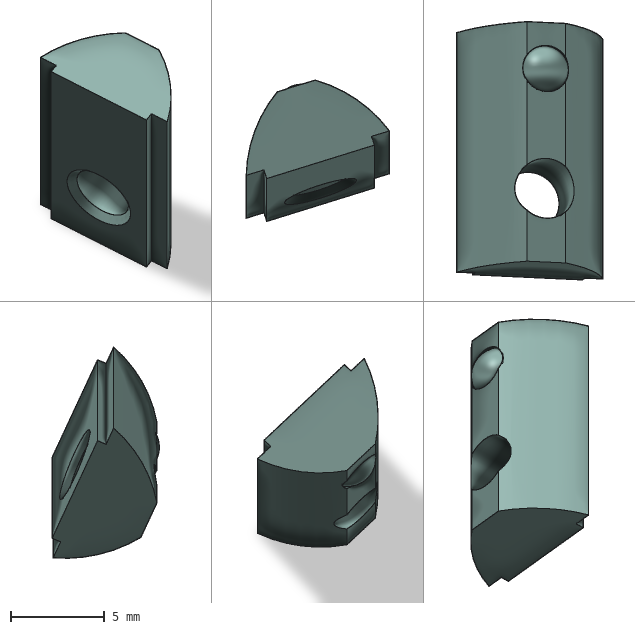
import cadquery as cq
import math

length = 13.0
width = 8.0
tongue_width = 6.0
tongue_height = 0.5
body_depth = 4.3
back_flat_width = 2.12
flank_radius = 7.5

hole_diameter = 3.24
countersink_diameter = 4.0
countersink_angle = 90.0
hole_z = 4.0

pin_diameter = 2.5
pin_tip_y = 4.77
pin_base_y = 2.28
dome_radius = 1.53
pin_z = 10.5


def make_profile():
    """Closed XY outline: narrow tongue, two shoulders, bowed flanks, flat back."""
    half_tongue = tongue_width / 2
    half_width = width / 2
    half_flat = back_flat_width / 2
    chord = math.hypot(half_width - half_flat, body_depth - tongue_height)
    flank_bulge = flank_radius - math.sqrt(flank_radius**2 - (chord / 2) ** 2)
    return (
        cq.Workplane("XY")
        .moveTo(-half_tongue, 0)
        .lineTo(half_tongue, 0)
        .lineTo(half_tongue, tongue_height)
        .lineTo(half_width, tongue_height)
        .sagittaArc((half_flat, body_depth), -flank_bulge)
        .lineTo(-half_flat, body_depth)
        .sagittaArc((-half_width, tongue_height), -flank_bulge)
        .lineTo(-half_tongue, tongue_height)
        .close()
    )


def make_hole_cutter():
    """Straight hole with a conical countersink at the front face."""
    hole_radius = hole_diameter / 2
    countersink_radius = countersink_diameter / 2
    half_angle = math.radians(countersink_angle / 2)
    countersink_depth = (countersink_radius - hole_radius) / math.tan(half_angle)
    return (
        cq.Workplane("XY")
        .moveTo(0, 0)
        .lineTo(countersink_radius, 0)
        .lineTo(hole_radius, countersink_depth)
        .lineTo(hole_radius, body_depth)
        .lineTo(0, body_depth)
        .close()
        .revolve(360, (0, 0, 0), (0, 1, 0))
        .translate((0, 0, hole_z))
    )


def make_pin():
    """Round pin along Y whose outer end is a spherical dome."""
    pin_radius = pin_diameter / 2
    dome_height = dome_radius - math.sqrt(dome_radius**2 - pin_radius**2)
    return (
        cq.Workplane("XY")
        .moveTo(0, pin_base_y)
        .lineTo(pin_radius, pin_base_y)
        .lineTo(pin_radius, pin_tip_y - dome_height)
        .radiusArc((0, pin_tip_y), -dome_radius)
        .close()
        .revolve(360, (0, 0, 0), (0, 1, 0))
        .translate((0, 0, pin_z))
    )


def make_pin_pocket():
    """Blind round pocket that the pin fills, open at the back."""
    pocket_depth = body_depth - pin_base_y
    return cq.Workplane(
        cq.Solid.makeCylinder(
            pin_diameter / 2, pocket_depth, cq.Vector(0, pin_base_y, pin_z), cq.Vector(0, 1, 0)
        )
    )


nut = make_profile().extrude(length).cut(make_hole_cutter()).cut(make_pin_pocket())
pin = make_pin()

result = cq.Compound.makeCompound([nut.val(), pin.val()])